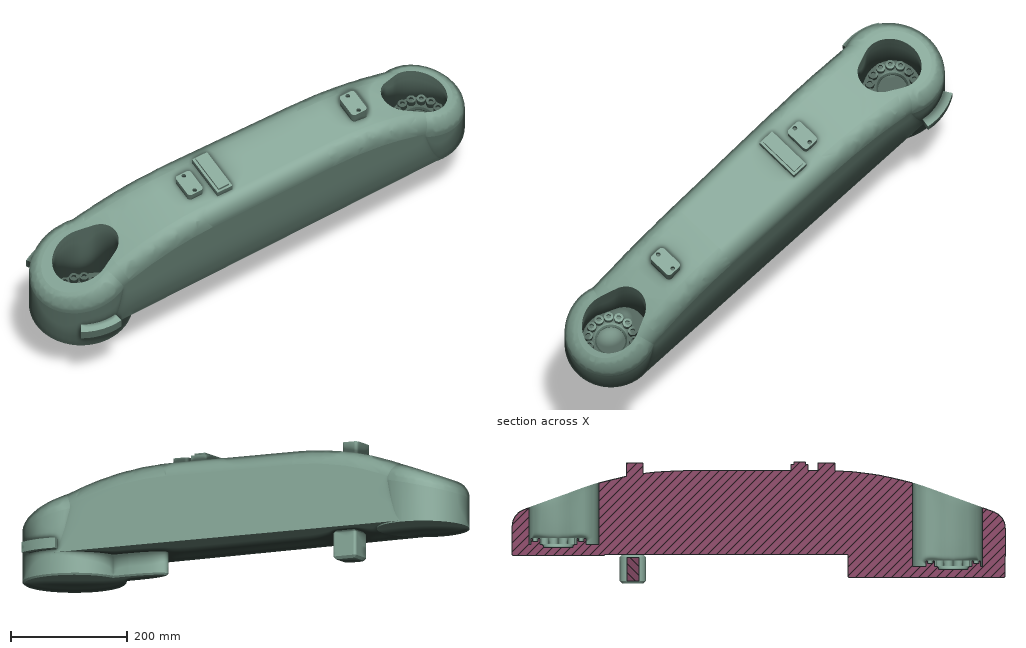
import cadquery as cq
import math


arm_length = 850.0
back_radius = 80.0
front_radius = 90.0
back_axis_y = arm_length / 2 - back_radius
front_axis_y = -arm_length / 2 + front_radius
middle_y = (back_axis_y + front_axis_y) / 2
arm_bottom_z = 50.0
arm_top_z = 195.2
side_draft = 5.0
top_fillet = 30.0

level_half_length = 122.0
arc_length_y = 180.0
end_slope = 20.0
arc_radius = arc_length_y / math.sin(math.radians(end_slope))
slope_start = level_half_length + arc_length_y
slope_start_z = arm_top_z - arc_radius * (1 - math.cos(math.radians(end_slope)))
slope_end = arm_length / 2 + top_fillet
slope_end_z = slope_start_z - (slope_end - slope_start) * math.tan(math.radians(end_slope))
arc_middle = level_half_length + arc_radius * math.sin(math.radians(end_slope / 2))
arc_middle_z = arm_top_z - arc_radius * (1 - math.cos(math.radians(end_slope / 2)))

back_foot_z = 48.0
front_foot_z = 10.0
foot_chamfer = 3.0
nose_half_width = 22.0
nose_length = 65.0
nose_center_y = front_axis_y + 117.0

well_radius = 50.0
well_small_radius = 37.5
well_small_offset = 32.0
well_floor_thickness = 20.0
bolt_count = 14
bolt_circle_radius = 39.6
bolt_first_angle = 90.0
bolt_head_diameter = 16.0
bolt_head_height = 10.0
socket_across_corners = 9.0
socket_depth = 5.0
recess_radius = 25.0
recess_chamfer = 3.0
recess_depth = 5.0

clip_size_x = 48.0
clip_size_y = 30.0
clip_corner = 6.0
clip_top_z = 208.0
clip_embed = 30.0
clip_hole_diameter = 8.0
clip_hole_spacing = 36.0
clip_hole_depth = 8.0
clip_ys = (213.5, -117.0)
plate_size_x = 84.0
plate_size_y = 30.0
plate_y = -70.5
plate_top_z = 206.0
panel_size_x = 76.0
panel_size_y = 21.0
panel_top_z = 210.0

lug_outer_radius = 212.55 / 2
lug_bottom_z = 55.0
lug_height = 18.0
lug_start_angle = 9.5
lug_end_angle = -31.5
lug_embed = 5.0

pin_size_x = 49.0
pin_size_y = 45.0
pin_center_x = 24.5
pin_center_y = 216.5
pin_left_corner = 13.0
pin_right_corner = 5.0
pin_chamfer = 4.5


def block(size_x, size_y, center_y, bottom_z, top_z):
    """Upright block centred on X = 0."""
    return (
        cq.Workplane("XY", origin=(0, center_y, bottom_z))
        .rect(size_x, size_y)
        .extrude(top_z - bottom_z)
    )


def space_under_top_line():
    """Wide prism that fills the space below the arm's top line."""
    half_width = 2 * front_radius
    return (
        cq.Workplane("YZ", origin=(-half_width, middle_y, 0))
        .moveTo(-slope_end, 0)
        .lineTo(-slope_end, slope_end_z)
        .lineTo(-slope_start, slope_start_z)
        .threePointArc((-arc_middle, arc_middle_z), (-level_half_length, arm_top_z))
        .lineTo(level_half_length, arm_top_z)
        .threePointArc((arc_middle, arc_middle_z), (slope_start, slope_start_z))
        .lineTo(slope_end, slope_end_z)
        .lineTo(slope_end, 0)
        .close()
        .extrude(2 * half_width)
    )


def space_under_end_slope(toward):
    """Wide prism below one straight end slope and its continuation towards the middle."""
    half_width = 2 * front_radius
    rise_z = slope_end_z + slope_end * math.tan(math.radians(end_slope))
    return (
        cq.Workplane("YZ", origin=(-half_width, middle_y, 0))
        .polyline([(0, 0), (0, rise_z), (toward * slope_end, slope_end_z), (toward * slope_end, 0)])
        .close()
        .extrude(2 * half_width)
    )


def beam():
    """Drafted beam between the two end axes, rounded along both long top edges."""
    tapered = (
        cq.Workplane("XY", origin=(0, 0, arm_bottom_z))
        .polyline(
            [
                (-front_radius, front_axis_y),
                (front_radius, front_axis_y),
                (back_radius, back_axis_y),
                (-back_radius, back_axis_y),
            ]
        )
        .close()
        .extrude(arm_top_z - arm_bottom_z + top_fillet, taper=side_draft)
    )
    beam_body = tapered.intersect(space_under_top_line())
    return beam_body.faces(">Z").edges("not |X").fillet(top_fillet)


def rounded_end(axis_y, radius, toward):
    """Round end with a sloping top and a rounded rim, kept to the straight stretch of the slope.

    The disc is turned so that its seam lies inside the beam.
    """
    end = (
        cq.Workplane("XY", origin=(0, axis_y, arm_bottom_z))
        .transformed(rotate=(0, 0, -toward * 90))
        .circle(radius)
        .extrude(arm_top_z)
        .intersect(space_under_end_slope(toward))
        .faces(">Z")
        .edges()
        .fillet(top_fillet)
    )
    slope_stretch_y = middle_y + toward * (slope_start + slope_end) / 2
    return end.intersect(
        block(2 * radius, slope_end - slope_start, slope_stretch_y, 0, arm_top_z)
    )


def back_foot():
    """Thin disc below the back end."""
    return (
        cq.Workplane("XY", origin=(0, back_axis_y, back_foot_z))
        .circle(back_radius)
        .extrude(arm_bottom_z - back_foot_z)
    )


def front_foot():
    """Foot below the front end with a narrow nose towards the middle, chamfered underneath."""
    height = arm_bottom_z - front_foot_z
    disc = cq.Workplane("XY", origin=(0, front_axis_y, front_foot_z)).circle(front_radius).extrude(height)
    neck_length = nose_center_y - front_axis_y
    neck = block(
        2 * nose_half_width, neck_length, front_axis_y + neck_length / 2, front_foot_z, arm_bottom_z
    )
    nose = (
        cq.Workplane("XY", origin=(0, nose_center_y, front_foot_z))
        .ellipse(nose_half_width, nose_length)
        .extrude(height)
    )
    return disc.union(neck).union(nose).faces("<Z").edges().chamfer(foot_chamfer)


def well(axis_y, floor_z, toward):
    """Tapered opening: a large arc about the axis and a smaller one towards the middle."""
    tilt = math.asin((well_radius - well_small_radius) / well_small_offset)
    small_y = -toward * well_small_offset
    tangent_x = math.cos(tilt)
    tangent_y = -toward * math.sin(tilt)
    return (
        cq.Workplane("XY", origin=(0, axis_y, floor_z))
        .moveTo(-well_radius * tangent_x, well_radius * tangent_y)
        .threePointArc(
            (0, toward * well_radius), (well_radius * tangent_x, well_radius * tangent_y)
        )
        .lineTo(well_small_radius * tangent_x, small_y + well_small_radius * tangent_y)
        .threePointArc(
            (0, small_y - toward * well_small_radius),
            (-well_small_radius * tangent_x, small_y + well_small_radius * tangent_y),
        )
        .close()
        .extrude(arm_top_z)
    )


def bolt_heads(axis_y, floor_z):
    """Ring of socket-head bolts standing on a well floor."""
    heads = (
        cq.Workplane("XY", origin=(0, axis_y, floor_z))
        .polarArray(bolt_circle_radius, bolt_first_angle, 360, bolt_count)
        .circle(bolt_head_diameter / 2)
        .extrude(bolt_head_height)
    )
    sockets = (
        cq.Workplane("XY", origin=(0, axis_y, floor_z + bolt_head_height - socket_depth))
        .polarArray(bolt_circle_radius, bolt_first_angle, 360, bolt_count)
        .polygon(6, socket_across_corners)
        .extrude(socket_depth)
    )
    return heads.cut(sockets)


def floor_recess(axis_y, floor_z):
    """Round recess with a chamfered rim in the middle of a well floor."""
    rim_radius = recess_radius + recess_chamfer
    return (
        cq.Workplane("XZ", origin=(0, axis_y, floor_z))
        .polyline(
            [
                (0, 0),
                (rim_radius, 0),
                (recess_radius, -recess_chamfer),
                (recess_radius, -recess_depth),
                (0, -recess_depth),
            ]
        )
        .close()
        .revolve(360, (0, 0), (0, 1))
    )


def clip(center_y):
    """Raised block with rounded corners and two small holes."""
    return (
        block(clip_size_x, clip_size_y, center_y, clip_top_z - clip_embed, clip_top_z)
        .edges("|Z")
        .fillet(clip_corner)
        .faces(">Z")
        .workplane(origin=(0, center_y, clip_top_z))
        .rarray(clip_hole_spacing, 1, 2, 1)
        .hole(clip_hole_diameter, clip_hole_depth)
    )


def side_lug(side):
    """Curved lug along the front end's wall, on the -X (-1) or +X (1) side."""

    def point(radius, angle):
        radians = math.radians(angle)
        return (side * radius * math.cos(radians), radius * math.sin(radians))

    middle_angle = (lug_start_angle + lug_end_angle) / 2
    inner_radius = front_radius - lug_embed
    return (
        cq.Workplane("XY", origin=(0, front_axis_y, lug_bottom_z))
        .moveTo(*point(inner_radius, lug_start_angle))
        .lineTo(*point(lug_outer_radius, lug_start_angle))
        .threePointArc(point(lug_outer_radius, middle_angle), point(lug_outer_radius, lug_end_angle))
        .lineTo(*point(inner_radius, lug_end_angle))
        .threePointArc(point(inner_radius, middle_angle), point(inner_radius, lug_start_angle))
        .close()
        .extrude(lug_height)
    )


def make_arm():
    """The whole arm as one solid."""
    arm = beam()
    arm = arm.union(rounded_end(back_axis_y, back_radius, 1))
    arm = arm.union(back_foot())
    arm = arm.union(rounded_end(front_axis_y, front_radius, -1))
    arm = arm.union(front_foot())
    for center_y in clip_ys:
        arm = arm.union(clip(center_y))
    arm = arm.union(block(plate_size_x, plate_size_y, plate_y, arm_top_z, plate_top_z))
    arm = arm.union(block(panel_size_x, panel_size_y, plate_y, plate_top_z, panel_top_z))
    for side in (-1, 1):
        arm = arm.union(side_lug(side))
    for axis_y, foot_z, toward in ((back_axis_y, back_foot_z, 1), (front_axis_y, front_foot_z, -1)):
        floor_z = foot_z + well_floor_thickness
        arm = arm.cut(well(axis_y, floor_z, toward))
        arm = arm.cut(floor_recess(axis_y, floor_z))
        arm = arm.union(bolt_heads(axis_y, floor_z))
    return arm


def make_pin():
    """Upright block with rounded corners, chamfered at both ends, standing below the arm."""
    return (
        cq.Workplane("XY", origin=(pin_center_x, pin_center_y, 0))
        .rect(pin_size_x, pin_size_y)
        .extrude(arm_bottom_z)
        .edges("|Z and <X")
        .fillet(pin_left_corner)
        .edges("|Z and >X")
        .fillet(pin_right_corner)
        .faces("<Z or >Z")
        .edges()
        .chamfer(pin_chamfer)
    )


arm = make_arm()
pin = make_pin()
result = cq.Compound.makeCompound([arm.val(), pin.val()])